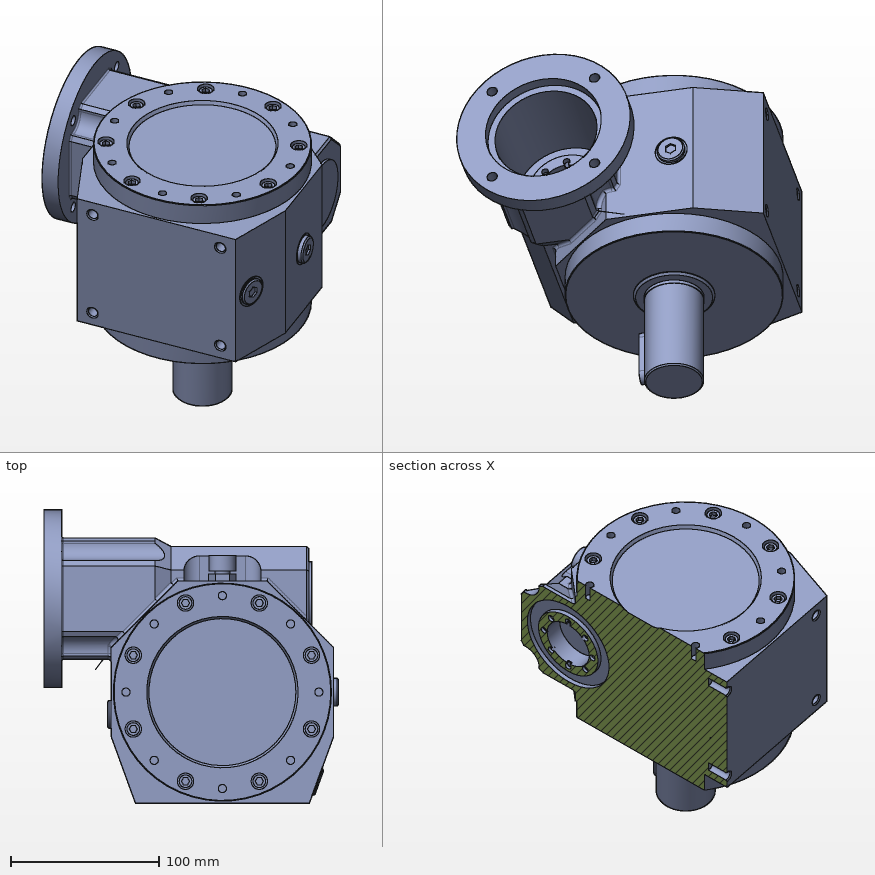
import cadquery as cq
import math

HOUSING_HALF = 75.0
HOUSING_HEIGHT = 100.0
CORNER_Y = 30.0
TAPER_ANGLE = 20.0
TAPER_SLOPE = math.tan(math.radians(TAPER_ANGLE))
FRONT_FACE_HALF = HOUSING_HALF - (HOUSING_HALF - CORNER_Y) * TAPER_SLOPE

COVER_DIAMETER = 147.0
COVER_THICKNESS = 15.0
COVER_EDGE_CHAMFER = 0.5
COVER_TOP_Z = HOUSING_HEIGHT / 2 + COVER_THICKNESS
RECESS_DIAMETER = 102.0
RECESS_FLOOR_DIAMETER = 99.0
RECESS_DEPTH = 2.5
COVER_PITCH_RADIUS = 65.0
COVER_FIXINGS = 8
COVER_TAP_DIAMETER = 5.5
COVER_TAP_DEPTH = 12.0
COUNTERBORE_DIAMETER = 11.0
COUNTERBORE_DEPTH = 7.0
SCREW_HEAD_DIAMETER = 8.5
SCREW_HEAD_HEIGHT = 5.5
SCREW_SOCKET_CORNERS = 5.5
SCREW_SOCKET_DEPTH = 3.0

SHAFT_DIAMETER = 40.0
SHAFT_END_Z = -137.0
SHAFT_CHAMFER = 1.0
SEAL_DIAMETER = 55.0
SEAL_HEIGHT = 2.0
SEAL_CHAMFER = 1.5
COLLAR_DIAMETER = 40.6
COLLAR_HEIGHT = 4.5
KEY_WIDTH = 12.0
KEY_LENGTH = 40.0
KEY_HEIGHT = 8.0
KEY_TOP_Y = SHAFT_DIAMETER / 2 + 3.0
KEY_CENTRE_Z = -114.5

INPUT_Y = 63.0
FLANGE_FACE_X = -120.25
FLANGE_DIAMETER = 120.0
FLANGE_THICKNESS = 12.0
FLANGE_BACK_X = FLANGE_FACE_X + FLANGE_THICKNESS
FLANGE_HOLE_DIAMETER = 7.0
FLANGE_HOLES = 4
FLANGE_FIRST_HOLE_ANGLE = 45.0
FLANGE_PITCH_RADIUS = 50.0
PILOT_DIAMETER = 80.0
PILOT_DEPTH = 8.0
BORE_DIAMETER = 70.5
BORE_BOTTOM_X = -45.0
NECK_HALF = 41.0
NECK_FLAT_HALF = 22.0
NECK_STEP = 25.6
NECK_LIP = 38.8
NECK_ARC_CENTRE = 37.0
NECK_END_X = -45.5
NECK_FOOT_FILLET = 1.2

HUB_DIAMETER = 52.0
HUB_HEIGHT = 5.0
HUB_BORE_DIAMETER = 36.0
HUB_BORE_DEPTH = 15.0
HUB_HOLES = 8
HUB_HOLE_DIAMETER = 4.5
HUB_HOLE_DEPTH = 4.0
HUB_PITCH_RADIUS = 21.0
HUB_SLIT_WIDTH = 3.0

BLOCK_HALF = 35.2
BLOCK_FLAT_HALF = 19.3
BLOCK_START_X = -34.6
BLOCK_END_X = 58.3
BLOCK_END_CHAMFER = 1.5
END_CAP_DIAMETER = 50.0
END_CAP_THICKNESS = 2.0
POCKET_WIDTH = 52.0
POCKET_CORNER_RADIUS = 10.5
POCKET_FLOOR_Z = 25.7
JOINT_FILLET = 2.0

BREATHER_DIAMETER = 18.0
BREATHER_HEAD_START_Y = 81.5
BREATHER_HEAD_END_Y = 92.0
BREATHER_NECK_DIAMETER = 10.0
BREATHER_HEX_CORNERS = 18.5
BREATHER_HEX_HEIGHT = 4.5

PLUG_DIAMETER = 19.0
PLUG_CHAMFER = 1.0
PLUG_SEAT_DIAMETER = 22.0
PLUG_SEAT_DEPTH = 0.5
PLUG_SOCKET_CORNERS = 8.0
PLUG_SOCKET_DEPTH = 1.5
LEFT_PLUG_Y = -15.0
LEFT_PLUG_PROTRUSION = 2.5
RIGHT_PLUG_PROTRUSION = 3.25
DRAIN_PLUG_Y = -60.5
DRAIN_PLUG_PROTRUSION = 1.5

MOUNT_X = 47.3
MOUNT_Z = 40.0
MOUNT_TAP_DIAMETER = 6.8
MOUNT_MOUTH_DIAMETER = 8.5
MOUNT_TAP_DEPTH = 16.0

TOLERANCE = 1e-3


def cylinder(origin, direction, diameter, length):
    return cq.Workplane(cq.Solid.makeCylinder(
        diameter / 2, length, cq.Vector(*origin), cq.Vector(*direction)))


def ring_points(count, radius, first_angle):
    angles = [math.radians(first_angle + 360.0 / count * i) for i in range(count)]
    return [(radius * math.cos(a), radius * math.sin(a)) for a in angles]


def make_housing():
    outline = [
        (-FRONT_FACE_HALF, -HOUSING_HALF),
        (FRONT_FACE_HALF, -HOUSING_HALF),
        (HOUSING_HALF, -CORNER_Y),
        (HOUSING_HALF, CORNER_Y),
        (CORNER_Y, HOUSING_HALF),
        (-CORNER_Y, HOUSING_HALF),
        (-HOUSING_HALF, CORNER_Y),
        (-HOUSING_HALF, -CORNER_Y),
    ]
    plane = cq.Workplane("XY", origin=(0, 0, -HOUSING_HEIGHT / 2))
    return plane.polyline(outline).close().extrude(HOUSING_HEIGHT)


def neck_wire(plane):
    """Square outline whose corners are cut back by round recesses."""
    recess_radius = NECK_ARC_CENTRE - NECK_STEP
    recess_middle = NECK_ARC_CENTRE - recess_radius / math.sqrt(2)
    corner = [
        (NECK_FLAT_HALF, NECK_HALF),
        (NECK_STEP, NECK_LIP),
        (NECK_STEP, NECK_ARC_CENTRE),
        (recess_middle, recess_middle),
        (NECK_ARC_CENTRE, NECK_STEP),
        (NECK_LIP, NECK_STEP),
        (NECK_HALF, NECK_FLAT_HALF),
    ]
    wire = plane.moveTo(-NECK_FLAT_HALF, NECK_HALF)
    for quarter in range(4):
        angle = -math.pi / 2 * quarter
        c, s = round(math.cos(angle)), round(math.sin(angle))
        p = [(c * u - s * v, s * u + c * v) for u, v in corner]
        wire = wire.lineTo(*p[0]).lineTo(*p[1]).lineTo(*p[2])
        wire = wire.threePointArc(p[3], p[4]).lineTo(*p[5]).lineTo(*p[6])
    return wire.close()


def chamfered_square(half, flat_half):
    return [
        (flat_half, half), (half, flat_half), (half, -flat_half), (flat_half, -half),
        (-flat_half, -half), (-half, -flat_half), (-half, flat_half), (-flat_half, half),
    ]


def input_plane(x):
    return cq.Workplane("YZ", origin=(x, INPUT_Y, 0))


def make_worm_housing():
    neck = neck_wire(input_plane(FLANGE_BACK_X)).extrude(NECK_END_X - FLANGE_BACK_X)
    transition = (
        input_plane(NECK_END_X)
        .polyline(chamfered_square(NECK_HALF, NECK_FLAT_HALF)).close()
        .workplane(offset=BLOCK_START_X - NECK_END_X)
        .polyline(chamfered_square(BLOCK_HALF, BLOCK_FLAT_HALF)).close()
        .loft(ruled=True)
    )
    recesses = (
        input_plane(NECK_END_X)
        .rect(2 * NECK_ARC_CENTRE, 2 * NECK_ARC_CENTRE, forConstruction=True).vertices()
        .circle(NECK_ARC_CENTRE - NECK_STEP)
        .extrude(BLOCK_START_X - NECK_END_X)
    )
    block = (
        input_plane(BLOCK_START_X)
        .polyline(chamfered_square(BLOCK_HALF, BLOCK_FLAT_HALF)).close()
        .extrude(BLOCK_END_X - BLOCK_START_X)
        .faces(">X").chamfer(BLOCK_END_CHAMFER)
    )
    return neck.union(transition.cut(recesses)).union(block)


def is_joint_edge(edge):
    """True for an edge where the worm housing meets a wall of the main housing."""
    diagonal_sum = HOUSING_HALF + CORNER_Y
    points = [edge.positionAt(t) for t in (0.0, 0.5, 1.0)]
    if any(abs(p.z) > NECK_HALF + TOLERANCE or p.y < INPUT_Y - NECK_HALF - TOLERANCE for p in points):
        return False
    distances = (
        lambda p: abs(p.y - HOUSING_HALF),
        lambda p: abs(abs(p.x) + p.y - diagonal_sum),
        lambda p: abs(p.x + HOUSING_HALF),
    )
    return any(all(distance(p) < TOLERANCE for p in points) for distance in distances)


def is_neck_foot_edge(edge):
    """True for an edge where the neck meets the back of the flange."""
    points = [edge.positionAt(t) for t in (0.0, 0.5, 1.0)]
    return all(
        abs(p.x - FLANGE_BACK_X) < TOLERANCE and math.hypot(p.y - INPUT_Y, p.z) < FLANGE_PITCH_RADIUS
        for p in points)


def fillet_where(body, chosen, radius):
    return body.newObject([e for e in body.edges().vals() if chosen(e)]).fillet(radius)


def make_cover(outward):
    """Round cover on the top (outward = 1) or bottom (outward = -1) of the housing."""
    start = (0, 0, outward * HOUSING_HEIGHT / 2)
    cover = cylinder(start, (0, 0, outward), COVER_DIAMETER, COVER_THICKNESS)
    return cover.faces(">Z" if outward > 0 else "<Z").chamfer(COVER_EDGE_CHAMFER)


def cut_cover_top(body):
    recess = (
        cq.Workplane("XY", origin=(0, 0, COVER_TOP_Z))
        .circle(RECESS_DIAMETER / 2)
        .workplane(offset=-RECESS_DEPTH)
        .circle(RECESS_FLOOR_DIAMETER / 2)
        .loft()
    )
    body = body.cut(recess)
    top = cq.Workplane("XY", origin=(0, 0, COVER_TOP_Z))
    taps = top.pushPoints(ring_points(COVER_FIXINGS, COVER_PITCH_RADIUS, 0))
    body = body.cut(taps.circle(COVER_TAP_DIAMETER / 2).extrude(-COVER_TAP_DEPTH))

    screw_places = ring_points(COVER_FIXINGS, COVER_PITCH_RADIUS, 180.0 / COVER_FIXINGS)
    bores = top.pushPoints(screw_places).circle(COUNTERBORE_DIAMETER / 2).extrude(-COUNTERBORE_DEPTH)
    heads = (
        top.workplane(offset=-COUNTERBORE_DEPTH).pushPoints(screw_places)
        .circle(SCREW_HEAD_DIAMETER / 2).extrude(SCREW_HEAD_HEIGHT)
    )
    sockets = (
        top.workplane(offset=SCREW_HEAD_HEIGHT - COUNTERBORE_DEPTH).pushPoints(screw_places)
        .polygon(6, SCREW_SOCKET_CORNERS).extrude(-SCREW_SOCKET_DEPTH)
    )
    return body.cut(bores).union(heads).cut(sockets)


def make_shaft():
    down = (0, 0, -1)
    start = (0, 0, -COVER_TOP_Z)
    shaft = cylinder(start, down, SHAFT_DIAMETER, -COVER_TOP_Z - SHAFT_END_Z)
    shaft = shaft.faces("<Z").chamfer(SHAFT_CHAMFER)
    seal = cylinder(start, down, SEAL_DIAMETER, SEAL_HEIGHT).faces("<Z").chamfer(SEAL_CHAMFER)
    collar = cylinder(start, down, COLLAR_DIAMETER, COLLAR_HEIGHT)
    key = (
        cq.Workplane("XZ", origin=(0, KEY_TOP_Y, KEY_CENTRE_Z))
        .slot2D(KEY_LENGTH, KEY_WIDTH, 90).extrude(KEY_HEIGHT)
    )
    return shaft.union(seal).union(collar).union(key)


def make_flange():
    return cylinder((FLANGE_FACE_X, INPUT_Y, 0), (1, 0, 0), FLANGE_DIAMETER, FLANGE_THICKNESS)


def cut_flange_holes(body):
    holes = (
        input_plane(FLANGE_FACE_X)
        .pushPoints(ring_points(FLANGE_HOLES, FLANGE_PITCH_RADIUS, FLANGE_FIRST_HOLE_ANGLE))
        .circle(FLANGE_HOLE_DIAMETER / 2).extrude(FLANGE_THICKNESS)
    )
    return body.cut(holes)


def cut_input_bore(body):
    axis = (1, 0, 0)
    mouth = (FLANGE_FACE_X, INPUT_Y, 0)
    body = body.cut(cylinder(mouth, axis, PILOT_DIAMETER, PILOT_DEPTH))
    body = body.cut(cylinder(mouth, axis, BORE_DIAMETER, BORE_BOTTOM_X - FLANGE_FACE_X))

    hub_face_x = BORE_BOTTOM_X - HUB_HEIGHT
    hub_start = (hub_face_x, INPUT_Y, 0)
    body = body.union(cylinder(hub_start, axis, HUB_DIAMETER, HUB_HEIGHT))
    body = body.cut(cylinder(hub_start, axis, HUB_BORE_DIAMETER, HUB_BORE_DEPTH))
    holes = (
        input_plane(hub_face_x).pushPoints(ring_points(HUB_HOLES, HUB_PITCH_RADIUS, 0))
        .circle(HUB_HOLE_DIAMETER / 2).extrude(HUB_HOLE_DEPTH)
    )
    slits = (
        input_plane(hub_face_x).rect(HUB_SLIT_WIDTH, 2 * HUB_PITCH_RADIUS).extrude(HUB_HOLE_DEPTH)
    )
    body = body.cut(holes).cut(slits)
    hole_radius = HUB_HOLE_DIAMETER / 2
    for y, z in ring_points(HUB_HOLES, HUB_PITCH_RADIUS, 0):
        point_start = cq.Vector(hub_face_x + HUB_HOLE_DEPTH, INPUT_Y + y, z)
        point = cq.Solid.makeCone(hole_radius, 0, hole_radius, point_start, cq.Vector(*axis))
        body = body.cut(cq.Workplane(point))
    return body


def cut_pocket(body):
    """Pocket opening upwards in the worm housing, running back from the octagon."""
    depth = BREATHER_HEAD_END_Y - HOUSING_HALF + POCKET_WIDTH
    pocket = (
        cq.Workplane("XZ", origin=(0, HOUSING_HALF, POCKET_FLOOR_Z + POCKET_WIDTH / 2))
        .rect(POCKET_WIDTH, POCKET_WIDTH).extrude(-depth)
        .edges("|Y").fillet(POCKET_CORNER_RADIUS)
    )
    return body.cut(pocket)


def make_breather():
    neck_length = BREATHER_HEAD_START_Y - HOUSING_HALF
    head_length = BREATHER_HEAD_END_Y - BREATHER_HEAD_START_Y
    neck = cylinder((0, HOUSING_HALF, POCKET_FLOOR_Z), (0, 1, 0), BREATHER_NECK_DIAMETER, neck_length)
    head = cylinder(
        (0, BREATHER_HEAD_START_Y, POCKET_FLOOR_Z), (0, 1, 0), BREATHER_DIAMETER, head_length)
    hexagon = (
        cq.Workplane("XZ", origin=(0, HOUSING_HALF, POCKET_FLOOR_Z))
        .polygon(6, BREATHER_HEX_CORNERS).extrude(-BREATHER_HEX_HEIGHT)
    )
    return hexagon.union(neck).union(head)


def add_oil_plug(body, x, y, normal_angle, protrusion):
    """Plug with hex socket in a shallow round seat on a vertical housing wall."""
    angle = math.radians(normal_angle)
    normal = cq.Vector(math.cos(angle), math.sin(angle), 0)
    wall = cq.Plane(origin=(x, y, 0), xDir=(0, 0, 1), normal=normal.toTuple())
    seat = cq.Workplane(wall).circle(PLUG_SEAT_DIAMETER / 2).extrude(-PLUG_SEAT_DEPTH)
    plug = (
        cq.Workplane(wall).workplane(offset=-PLUG_SEAT_DEPTH)
        .circle(PLUG_DIAMETER / 2).extrude(PLUG_SEAT_DEPTH + protrusion)
        .faces(cq.selectors.DirectionMinMaxSelector(normal)).chamfer(PLUG_CHAMFER)
    )
    socket = (
        cq.Workplane(wall).workplane(offset=protrusion)
        .polygon(6, PLUG_SOCKET_CORNERS).extrude(-PLUG_SOCKET_DEPTH)
    )
    return body.cut(seat).union(plug).cut(socket)


def cut_mounting_holes(body):
    face = cq.Workplane("XZ", origin=(0, -HOUSING_HALF, 0))
    mouth_depth = (MOUNT_MOUTH_DIAMETER - MOUNT_TAP_DIAMETER) / 2
    for x in (-MOUNT_X, MOUNT_X):
        for z in (-MOUNT_Z, MOUNT_Z):
            hole = face.center(x, z).circle(MOUNT_TAP_DIAMETER / 2).extrude(-MOUNT_TAP_DEPTH)
            mouth = cq.Workplane(cq.Solid.makeCone(
                MOUNT_MOUTH_DIAMETER / 2, MOUNT_TAP_DIAMETER / 2, mouth_depth,
                cq.Vector(x, -HOUSING_HALF, z), cq.Vector(0, 1, 0)))
            body = body.cut(hole).cut(mouth)
    return body


worm_side = make_worm_housing().union(make_flange())
worm_side = fillet_where(worm_side, is_neck_foot_edge, NECK_FOOT_FILLET)
worm_side = cut_flange_holes(worm_side)
body = cut_mounting_holes(make_housing())
body = add_oil_plug(body, -HOUSING_HALF, LEFT_PLUG_Y, 180.0, LEFT_PLUG_PROTRUSION)
body = add_oil_plug(body, HOUSING_HALF, 0.0, 0.0, RIGHT_PLUG_PROTRUSION)
drain_x = HOUSING_HALF + (DRAIN_PLUG_Y + CORNER_Y) * TAPER_SLOPE
body = add_oil_plug(body, drain_x, DRAIN_PLUG_Y, -TAPER_ANGLE, DRAIN_PLUG_PROTRUSION)
body = body.union(make_cover(1)).union(make_cover(-1)).union(make_shaft())
body = cut_cover_top(body)
body = body.union(worm_side)
body = cut_input_bore(body)
body = fillet_where(body, is_joint_edge, JOINT_FILLET)
body = cut_pocket(body).union(make_breather())
body = body.union(cylinder((BLOCK_END_X, INPUT_Y, 0), (1, 0, 0), END_CAP_DIAMETER, END_CAP_THICKNESS))
result = body